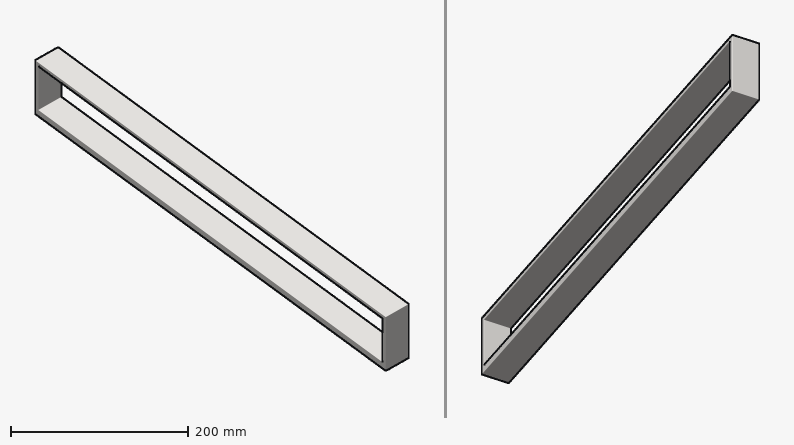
import cadquery as cq

length = 600.0
depth = 35.0
height = 80.0

wall = 6.0
bottom_bar = 10.0

edge_radius = 0.4

opening_length = length - 2 * wall
opening_height = height - wall - bottom_bar
opening_center_z = (bottom_bar - wall) / 2


def make_frame():
    """Rectangular frame centred on the origin, open along Y."""
    body = cq.Workplane("XY").box(length, depth, height)
    opening = (
        cq.Workplane("XY")
        .box(opening_length, depth, opening_height)
        .translate((0, 0, opening_center_z))
    )
    return body.cut(opening)


result = make_frame().edges().fillet(edge_radius)